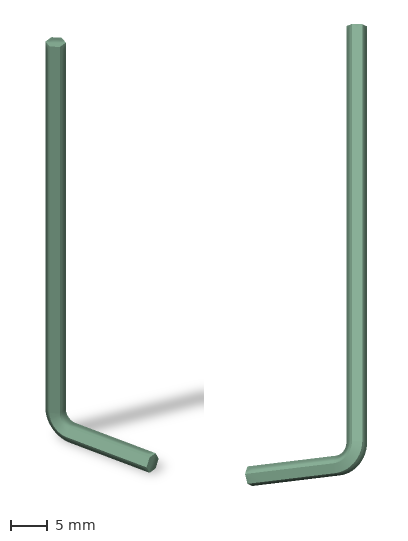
import cadquery as cq
import math

height = 62.5
reach = 17.5
across_flats = 2.45
outer_bend_radius = 4.05

across_corners = across_flats / math.cos(math.pi / 6)
half_flats = across_flats / 2
bend_radius = outer_bend_radius - half_flats

top = height / 2
axis_bottom = half_flats - height / 2
end_x = reach - half_flats
bend_middle = bend_radius * (1 - math.cos(math.pi / 4))

path = (
    cq.Workplane("XZ")
    .moveTo(0, top)
    .lineTo(0, axis_bottom + bend_radius)
    .threePointArc(
        (bend_middle, axis_bottom + bend_middle),
        (bend_radius, axis_bottom),
    )
    .lineTo(end_x, axis_bottom)
)

section = (
    cq.Workplane("XY", origin=(0, 0, top))
    .transformed(rotate=(0, 0, 90))
    .polygon(6, across_corners)
)

result = section.sweep(path)